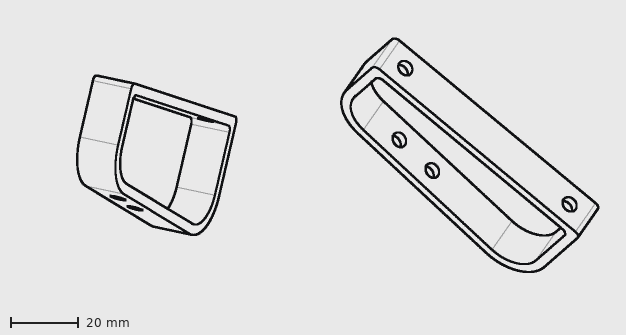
import cadquery as cq
import math

strap_width = 12.7
wall = 3.2
length = 79.45
middle_depth = 34.95
lower_bar_angle = 5.6
tilt_angle = 30.0

top_corner_radius = 1.8
lower_inner_radius = 10.2
lower_outer_radius = lower_inner_radius + wall

mounting_hole_diameter = 4.6
mounting_hole_spacing = 63.55
lower_hole_diameter = 4.6
lower_hole_spacing = 13.6
lower_hole_center = -10.25
cutter_length = 4 * wall

lower_slope = math.tan(math.radians(lower_bar_angle))


def rounded_block(inset, lower_radius):
    """Solid outline moved inward by inset, with all four corners rounded."""
    half = length / 2 - inset
    depth = middle_depth - inset / math.cos(math.radians(lower_bar_angle))
    corners = [
        (-half, -inset),
        (half, -inset),
        (half, -depth - half * lower_slope),
        (-half, -depth + half * lower_slope),
    ]
    block = (
        cq.Workplane("YZ")
        .polyline(corners)
        .close()
        .extrude(strap_width / 2, both=True)
    )
    block = block.edges("|X and >Z").fillet(top_corner_radius)
    for y in (-half, half):
        corner = (0, y, -depth - y * lower_slope)
        block = block.edges(cq.selectors.NearestToPointSelector(corner)).fillet(lower_radius)
    return block


def bar_hole(y, z, diameter, angle):
    """Cutter centered at (y, z), leaning by angle about the X axis."""
    cutter = cq.Workplane("XY").circle(diameter / 2).extrude(cutter_length / 2, both=True)
    return cutter.rotate((0, 0, 0), (1, 0, 0), angle).translate((0, y, z))


strap = rounded_block(0, lower_outer_radius).cut(rounded_block(wall, lower_inner_radius))

for side in (-1, 1):
    strap = strap.cut(bar_hole(side * mounting_hole_spacing / 2, 0, mounting_hole_diameter, 0))

half_step = lower_hole_spacing / 2 * math.cos(math.radians(lower_bar_angle))
for side in (-1, 1):
    hole_y = lower_hole_center + side * half_step
    hole_z = -middle_depth - hole_y * lower_slope
    strap = strap.cut(bar_hole(hole_y, hole_z, lower_hole_diameter, -lower_bar_angle))

result = strap.rotate((0, 0, 0), (1, 0, 0), -tilt_angle)